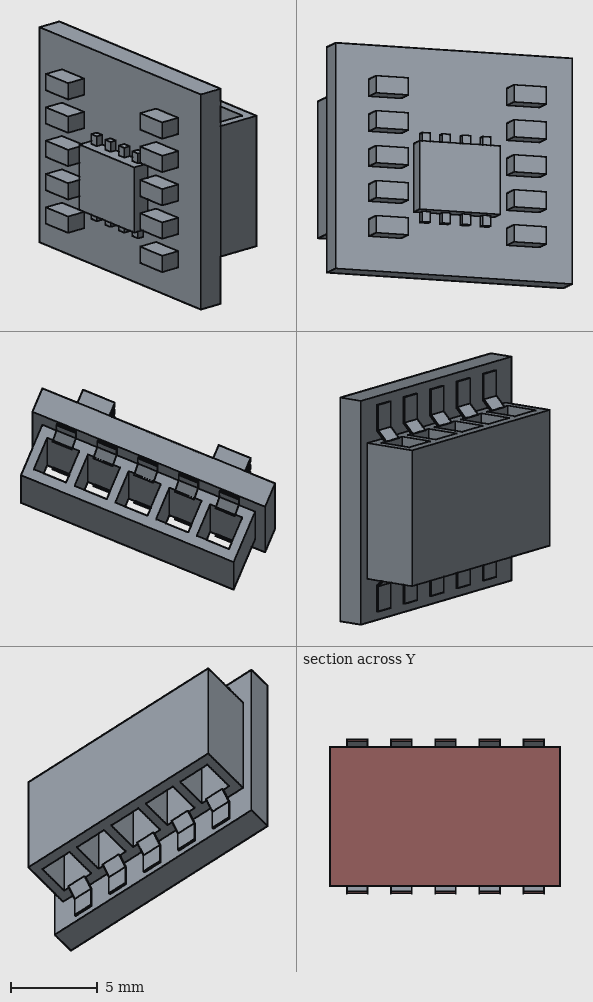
import cadquery as cq

board_width = 14.5
board_height = 13.2
board_thickness = 1.5

housing_width = 13.25
housing_depth = 3.2
housing_height = 8.0

channel_count = 5
channel_pitch = 2.54
channel_size = 2.0
channel_floor = 0.6

lead_width = 1.2
lead_thickness = 0.1
lead_rise = 0.7
lead_tip_margin = 0.51
lead_offset_x = 0.03

pad_rows = 5
pad_pitch = 2.05
pad_width = 1.99
pad_height = 1.0
pad_depth = 1.2
pad_column_spacing = 8.45

chip_width = 4.93
chip_height = 4.0
chip_depth = 1.0
chip_center_z = -1.0

pin_count = 4
pin_pitch = 1.23
pin_width = 0.5
pin_depth = 0.4
pin_row_span = 5.2

board_back = board_thickness


def block(width, depth, height, center_x, start_y, center_z):
    """Box centred on X and Z that extends in +Y from start_y."""
    center_y = start_y + depth / 2
    return cq.Workplane("XY").box(width, depth, height).translate((center_x, center_y, center_z))


def spaced(count, pitch):
    """Evenly spaced positions centred on zero."""
    return [(index - (count - 1) / 2) * pitch for index in range(count)]


def make_housing():
    housing = block(housing_width, housing_depth, housing_height, 0, board_back, 0)
    for x in spaced(channel_count, channel_pitch):
        channel = block(channel_size, channel_size, housing_height, x, board_back + channel_floor, 0)
        housing = housing.cut(channel)
    return housing


def make_upper_lead(center_x):
    """Strip with a flat foot on the board and a 45 degree leg up to the housing."""
    housing_top = housing_height / 2
    tip_z = board_height / 2 - lead_tip_margin
    foot_top = board_back + lead_thickness
    leg_top = board_back + lead_rise
    leg_slice = lead_thickness * 2 ** 0.5
    bend_top_z = housing_top + leg_top - foot_top
    bend_bottom_z = housing_top + lead_rise - leg_slice
    profile = [
        (board_back, tip_z),
        (foot_top, tip_z),
        (foot_top, bend_top_z),
        (leg_top, housing_top),
        (leg_top - leg_slice, housing_top),
        (board_back, bend_bottom_z),
    ]
    lead = cq.Workplane("YZ").polyline(profile).close().extrude(lead_width / 2, both=True)
    return lead.translate((center_x, 0, 0))


def make_pads():
    pads = cq.Workplane("XY")
    for x in spaced(2, pad_column_spacing):
        for z in spaced(pad_rows, pad_pitch):
            pads = pads.union(block(pad_width, pad_depth, pad_height, x, -pad_depth, z))
    return pads


def make_chip():
    chip = block(chip_width, chip_depth, chip_height, 0, -chip_depth, chip_center_z)
    for x in spaced(pin_count, pin_pitch):
        chip = chip.union(block(pin_width, pin_depth, pin_row_span, x, -pin_depth, chip_center_z))
    return chip


result = block(board_width, board_thickness, board_height, 0, 0, 0)
result = result.union(make_housing())
for channel_x in spaced(channel_count, channel_pitch):
    upper_lead = make_upper_lead(channel_x + lead_offset_x)
    result = result.union(upper_lead).union(upper_lead.mirror("XY"))
result = result.union(make_pads()).union(make_chip())